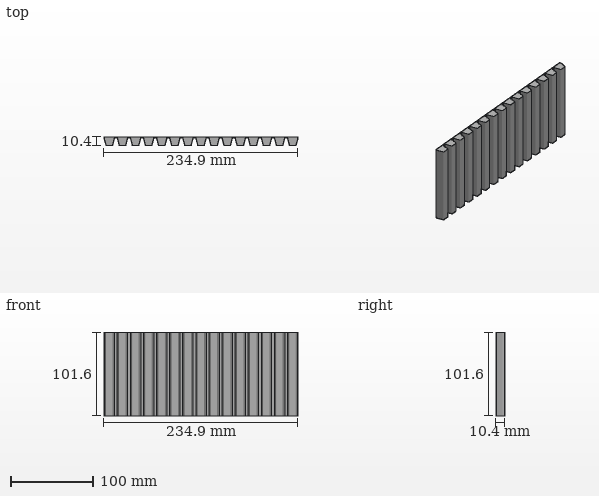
import cadquery as cq

TOOTH_COUNT = 15
TOOTH_PITCH = 15.875
TOOTH_ROOT_WIDTH = 12.7
TOOTH_TIP_WIDTH = 7.9375
HEIGHT = 101.6
DEPTH = 10.414
BACKING_THICKNESS = 1.27
END_WALL_DEPTH = 2.7
CORNER_RADIUS = 0.508

LENGTH = (TOOTH_COUNT - 1) * TOOTH_PITCH + TOOTH_ROOT_WIDTH
FIRST_TOOTH_X = -(TOOTH_COUNT - 1) * TOOTH_PITCH / 2
BACK_Y = DEPTH / 2
TIP_Y = -DEPTH / 2
FLOOR_Y = BACK_Y - BACKING_THICKNESS
END_WALL_Y = BACK_Y - END_WALL_DEPTH


def tooth_points(index):
    """Outline of one tapered tooth, left to right; the outer flanks start at the end walls."""
    center_x = FIRST_TOOTH_X + index * TOOTH_PITCH
    left_root_y = END_WALL_Y if index == 0 else FLOOR_Y
    right_root_y = END_WALL_Y if index == TOOTH_COUNT - 1 else FLOOR_Y
    return [
        (center_x - TOOTH_ROOT_WIDTH / 2, left_root_y),
        (center_x - TOOTH_TIP_WIDTH / 2, TIP_Y),
        (center_x + TOOTH_TIP_WIDTH / 2, TIP_Y),
        (center_x + TOOTH_ROOT_WIDTH / 2, right_root_y),
    ]


def toothed_panel():
    """Flat-backed panel with full-height teeth along its front."""
    outline = [(-LENGTH / 2, BACK_Y)]
    for index in range(TOOTH_COUNT):
        outline += tooth_points(index)
    outline.append((LENGTH / 2, BACK_Y))
    return cq.Workplane("XY").polyline(outline).close().extrude(HEIGHT / 2, both=True)


def round_outer_corners(panel):
    """Round the upright edges at the tooth tips and at both ends of the back face."""
    return panel.edges("|Z").edges("<Y or >Y").fillet(CORNER_RADIUS)


result = round_outer_corners(toothed_panel())